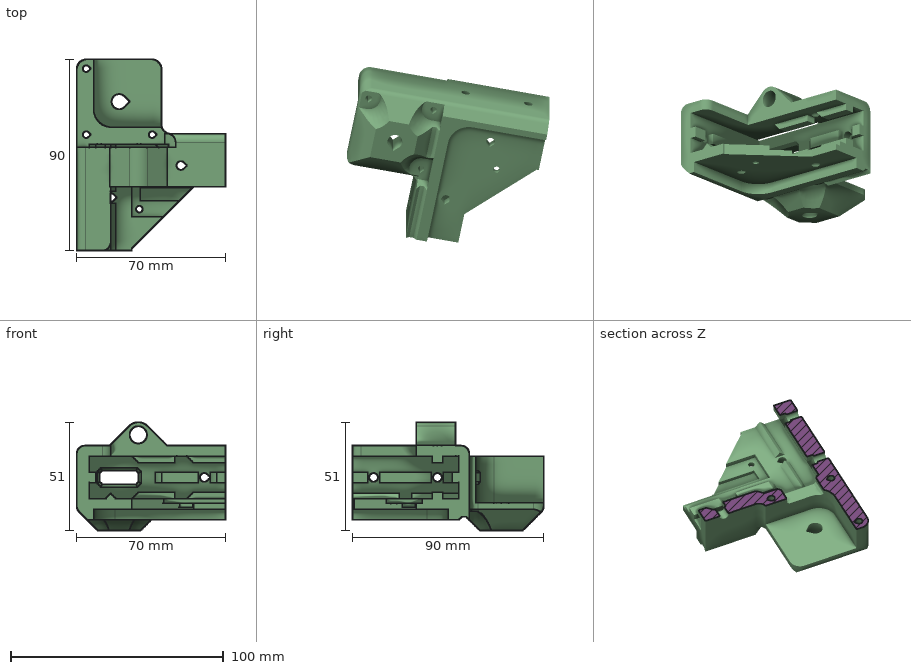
import cadquery as cq
import math

length_x = 70.0
length_y = 90.0
top_z = 40.0
under_z = 5.0
plate = 5.0
edge_radius = 4.0

extrusion = 20.0
channel_x = 6.0
channel_z = 15.0
channel_top = channel_z + extrusion
channel_mid_z = channel_z + extrusion / 2
arm_front = 30.0
arm_mid_y = arm_front + extrusion / 2
channel_back = arm_front + extrusion
arm_back = channel_back + plate
leg_mid_x = channel_x + extrusion / 2
leg_edge_x = channel_x + extrusion
plate_back = 48.5
rib_width = 5.0
rib_height = 3.0
wall_rib_x = 37.0
screw_d = 4.0
screw_gap = screw_d / math.sqrt(2)

leg_floor_screw_y = 25.0
leg_wall_screws_y = (10.0, 40.0)
arm_plate_screw_x = 49.0
arm_wall_screw_x = 60.0

floor_z = channel_z - plate
floor_wall = 8.0
under_wall_y = 45.0
floor_fillet = 10.0
diagonal_offset = 25.0

seat_front = 16.0
seat_back = 32.8
seat_depth = 2.2
deep_seat_x = 30.0
deep_seat_front = 23.5
deep_seat_back = 29.6
deep_seat_depth = 4.0
sensor_hole_d = 3.0
sensor_hole = (29.5, 19.5)

block = 40.0
block_front = length_y - block
block_mid = (block / 2, length_y - block / 2)
block_radius = 5.0
cup_depth = 10.0
pocket_x = 8.0
pocket_y = 58.0
pocket_floor = 13.0
pocket_radius = 8.5
motor_pitch = 31.0
motor_screw_d = 3.0
recess_top = 9.2
recess_top_radius = 5.5
recess_low_radius = 12.1
shaft_d = 7.0
clearance_x = 41.5
relief_end_x = 43.3
relief_depth = 1.5
groove_depth = 1.5

window_mid_x = 20.0
window_size = (18.0, 6.2)
window_corner = 1.0
window_bevel = 1.4

lug_x = 29.0
lug_z = 45.0
lug_radius = 6.0
lug_hole_d = 8.0


def box(x0, x1, y0, y1, z0, z1):
    return cq.Workplane("XY").box(x1 - x0, y1 - y0, z1 - z0, centered=False).translate((x0, y0, z0))


def prism_y(points, y0, y1):
    """Extrude an (x, z) outline from y0 to y1."""
    return cq.Workplane("XZ").polyline(points).close().extrude(y0 - y1).translate((0, y0, 0))


def prism_x(points, x0, x1):
    """Extrude a (y, z) outline from x0 to x1."""
    return cq.Workplane("YZ").polyline(points).close().extrude(x1 - x0).translate((x0, 0, 0))


def prism_z(points, z0, z1):
    """Extrude an (x, y) outline from z0 to z1."""
    return cq.Workplane("XY").polyline(points).close().extrude(z1 - z0).translate((0, 0, z0))


def teardrop(plane, u, v, diameter, start, end):
    """Round hole with a 45 degree tip towards +X, along Y on plane XZ or along Z on plane XY."""
    radius = diameter / 2
    lean = radius / math.sqrt(2)
    outline = (
        cq.Workplane(plane)
        .moveTo(u + lean, v + lean)
        .threePointArc((u - radius, v), (u + lean, v - lean))
        .lineTo(u + radius * math.sqrt(2), v)
        .close()
    )
    if plane == "XZ":
        return outline.extrude(start - end).translate((0, start, 0))
    return outline.extrude(end - start).translate((0, 0, start))


def leg_profile():
    """Bar along Y with a rounded top edge and a 45 degree lower edge on its -X side."""
    outline = [(0, cup_depth), (0, top_z), (block, top_z), (block, cup_depth)]
    outline += [(block - cup_depth, 0), (cup_depth, 0)]
    bar = prism_y(outline, 0, length_y)
    return bar.edges("|Y and <X").fillet(edge_radius)


def leg_outer():
    """Outer wall of the leg and its narrow top plate."""
    outer_wall = leg_profile().intersect(box(0, floor_wall, 0, arm_back, under_z, top_z))
    top_plate = box(floor_wall - edge_radius, leg_mid_x, 0, arm_front, channel_top, top_z)
    corner = top_plate.edges("|Z and >X and <Y").fillet(edge_radius)
    return outer_wall.union(corner)


def floor_plate():
    outline = [
        (edge_radius, 0),
        (leg_edge_x, 0),
        (leg_edge_x, leg_edge_x - diagonal_offset),
        (arm_front + diagonal_offset, arm_front),
        (length_x, arm_front),
        (length_x, arm_back),
        (edge_radius, arm_back),
    ]
    return prism_z(outline, floor_z, channel_z)


def inner_corner(x, y, reach_x, reach_y, z0, z1):
    """Concave fillet filling the corner at (x, y); the signs of the equal reaches give its direction."""
    radius = abs(reach_x)
    x0, x1 = sorted((x, x + reach_x))
    y0, y1 = sorted((y, y + reach_y))
    round_cut = cq.Workplane("XY").circle(radius).extrude(z1 - z0).translate((x + reach_x, y + reach_y, z0))
    return box(x0, x1, y0, y1, z0, z1).cut(round_cut)


def arm_outer():
    shell = box(floor_wall, length_x, arm_front, arm_back, under_z, top_z)
    shell = shell.edges("|X and >Y and >Z").fillet(edge_radius)
    under = box(0, length_x, 0, under_wall_y, 0, floor_z)
    return shell.cut(under)


def motor_block():
    """Block with a 45 degree tapered underside; its -X and +Y faces roll over into the taper."""
    plan = box(0, block, block_front, length_y, 0, channel_top).edges("|Z and >Y").fillet(block_radius)
    rear_outline = [
        (block_front, channel_top),
        (length_y, channel_top),
        (length_y, cup_depth),
        (length_y - cup_depth, 0),
        (block_front + cup_depth, 0),
        (block_front, cup_depth),
    ]
    rear_edge = cq.selectors.NearestToPointSelector((block / 2, length_y, cup_depth))
    across_y = prism_x(rear_outline, 0, block).edges(rear_edge).fillet(edge_radius)
    return plan.intersect(across_y).intersect(leg_profile())


def rod_lug():
    lean = lug_radius / math.sqrt(2)
    foot = lug_radius * math.sqrt(2) + lug_z - top_z
    return (
        cq.Workplane("XZ")
        .moveTo(lug_x - foot, top_z)
        .lineTo(lug_x - lean, lug_z + lean)
        .threePointArc((lug_x, lug_z + lug_radius), (lug_x + lean, lug_z + lean))
        .lineTo(lug_x + foot, top_z)
        .close()
        .extrude(arm_front - plate_back)
        .translate((0, arm_front, 0))
    )


def rod_hole():
    return cq.Workplane("XZ").center(lug_x, lug_z).circle(lug_hole_d / 2).extrude(-plate_back)


def channels():
    leg = box(channel_x, leg_edge_x, 0, channel_back, channel_z, channel_top)
    arm = box(channel_x, length_x, arm_front, channel_back, channel_z, channel_top)
    return leg.union(arm)


def corner_relief():
    """Slot raising the channel roof along the inner corner next to the motor block."""
    return box(channel_x, relief_end_x, plate_back, channel_back, channel_z, channel_top + relief_depth)


def block_clearance():
    """Space above the motor block, ending at a 45 degree face on the arm."""
    rise = top_z - channel_top
    outline = [(0, channel_top), (clearance_x, channel_top), (clearance_x + rise, top_z), (0, top_z)]
    return prism_y(outline, plate_back, arm_back)


def floor_seat():
    seat = box(leg_edge_x, length_x, seat_front, seat_back, channel_z - seat_depth, channel_z)
    deep = box(deep_seat_x, length_x, deep_seat_front, deep_seat_back,
               channel_z - deep_seat_depth, channel_z)
    hole = cq.Workplane("XY").center(*sensor_hole).circle(sensor_hole_d / 2).extrude(channel_z)
    return seat.union(deep).union(hole)


def arm_ribs():
    """Ribs that enter the extrusion slots; each starts with a 45 degree ramp."""
    half = rib_width / 2
    ribs = cq.Workplane("XY")
    for face_z, inward in ((channel_z, 1), (channel_top, -1)):
        crest = face_z + inward * rib_height
        spans = ((leg_edge_x, arm_plate_screw_x - screw_gap), (arm_plate_screw_x + screw_gap, length_x))
        for start, end in spans:
            outline = [(start, face_z), (start + rib_height, crest), (end, crest), (end, face_z)]
            ribs = ribs.add(prism_y(outline, arm_mid_y - half, arm_mid_y + half))
    crest = channel_back - rib_height
    spans = ((wall_rib_x, arm_wall_screw_x - screw_gap), (arm_wall_screw_x + screw_gap, length_x))
    for start, end in spans:
        outline = [(start, channel_back), (start + rib_height, crest), (end, crest), (end, channel_back)]
        ribs = ribs.add(prism_z(outline, channel_mid_z - half, channel_mid_z + half))
    return ribs.combine()


def leg_ribs():
    half = rib_width / 2
    roof = [(leg_mid_x - half, channel_z), (leg_mid_x, channel_z + half), (leg_mid_x + half, channel_z)]
    ribs = prism_y(roof, 0, channel_back)
    gap = box(channel_x, leg_edge_x, leg_floor_screw_y - screw_gap, leg_floor_screw_y + screw_gap,
              channel_z, channel_top)
    ribs = ribs.cut(gap)
    wall_rib = box(channel_x, channel_x + rib_height, 0, channel_back,
                   channel_mid_z - half, channel_mid_z + half)
    for y in leg_wall_screws_y:
        wall_rib = wall_rib.cut(box(channel_x, leg_edge_x, y - screw_gap, y + screw_gap,
                                    channel_z, channel_top))
    return ribs.union(wall_rib)


def extrusion_screws():
    holes = teardrop("XY", leg_mid_x, leg_floor_screw_y, screw_d, 0, channel_z)
    holes = holes.union(teardrop("XY", arm_plate_screw_x, arm_mid_y, screw_d, 0, top_z))
    holes = holes.union(teardrop("XZ", arm_wall_screw_x, channel_mid_z, screw_d, channel_back, arm_back))
    for y in leg_wall_screws_y:
        hole = cq.Workplane("YZ").center(y, channel_mid_z).circle(screw_d / 2).extrude(channel_x)
        holes = holes.union(hole)
    return holes


def motor_pocket():
    reach = block + edge_radius
    pocket = box(pocket_x, reach, pocket_y, length_y, pocket_floor, channel_top)
    return pocket.edges("|Z and <X and <Y").fillet(pocket_radius)


def motor_screw_places():
    mid_x, mid_y = block_mid
    half = motor_pitch / 2
    return ((mid_x - half, mid_y + half), (mid_x - half, mid_y - half), (mid_x + half, mid_y - half))


def motor_holes():
    holes = teardrop("XY", *block_mid, shaft_d, 0, channel_top)
    for x, y in motor_screw_places():
        holes = holes.union(teardrop("XY", x, y, motor_screw_d, 0, channel_top))
    return holes


def screw_head_recesses():
    """Cones around the motor screws, carried straight on along Y to the nearest end of the block."""
    recesses = cq.Workplane("XY")
    for x, y in motor_screw_places():
        cone = (
            cq.Workplane("XY").circle(recess_low_radius)
            .workplane(offset=recess_top).circle(recess_top_radius).loft(ruled=True)
            .translate((x, y, 0))
        )
        section = [
            (x - recess_low_radius, 0),
            (x - recess_top_radius, recess_top),
            (x + recess_top_radius, recess_top),
            (x + recess_low_radius, 0),
        ]
        y_end = length_y if y > block_mid[1] else channel_back
        run_out = prism_y(section, min(y, y_end), max(y, y_end))
        recesses = recesses.add(cone).add(run_out)
    block_zone = box(-block, length_x, channel_back, length_y, 0, recess_top)
    return recesses.combine().intersect(block_zone)


def window():
    """Opening with cropped corners and a 45 degree bevel on the channel side."""
    width, height = window_size

    def outline(grow):
        return (
            cq.Sketch().rect(width + 2 * grow, height + 2 * grow)
            .vertices().chamfer(window_corner + grow * (2 - math.sqrt(2)))
        )

    opening = outline(0)
    inner_end = opening.moved(cq.Location(cq.Vector(0, 0, -window_bevel)))
    wall_face = cq.Workplane("XZ", origin=(window_mid_x, channel_back, channel_mid_z))
    through = wall_face.placeSketch(opening).extrude(channel_back - pocket_y - pocket_radius)
    bevel = wall_face.placeSketch(outline(window_bevel), inner_end).loft(ruled=True)
    return through.union(bevel)


def under_groove():
    """Shallow 45 degree sided groove under the arm's back wall."""
    roof = under_z + groove_depth
    outline = [
        (channel_back, 0),
        (channel_back, under_z),
        (channel_back + groove_depth, roof),
        (block_front + cup_depth - roof, roof),
        (block_front + cup_depth - under_z, under_z),
        (block_front + cup_depth, 0),
    ]
    return prism_x(outline, 0, length_x)


solid = leg_outer().union(floor_plate()).union(arm_outer()).union(motor_block()).union(rod_lug())
solid = solid.union(inner_corner(floor_wall, under_wall_y, floor_fillet, -floor_fillet, under_z, floor_z))
solid = solid.union(inner_corner(block, arm_back, edge_radius, edge_radius, floor_z, channel_top))
solid = solid.cut(channels()).cut(corner_relief()).cut(block_clearance()).cut(floor_seat())
solid = solid.union(arm_ribs()).union(leg_ribs())
solid = solid.cut(extrusion_screws()).cut(motor_pocket()).cut(motor_holes()).cut(window())
solid = solid.cut(under_groove()).cut(screw_head_recesses())
result = solid.cut(rod_hole())